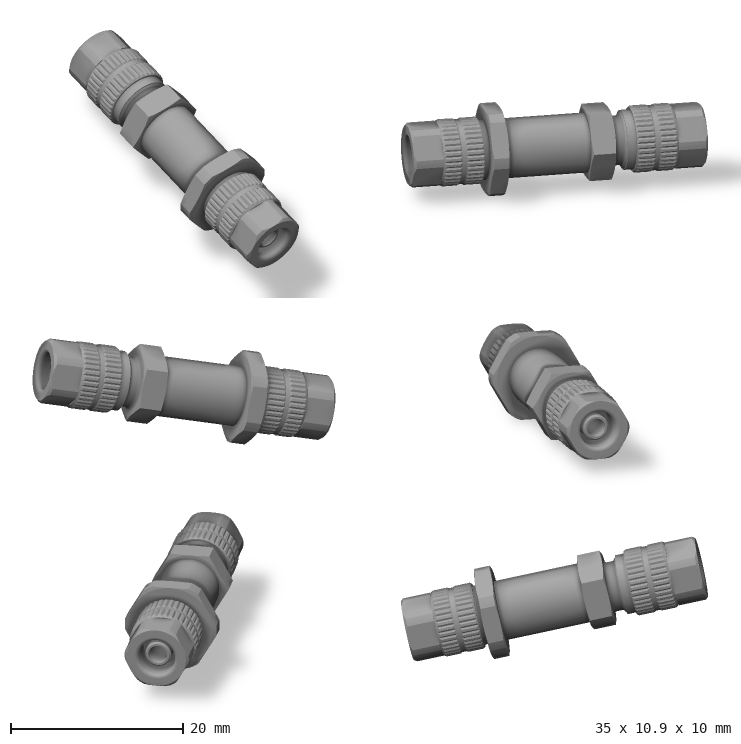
import cadquery as cq
import math

length = 35.0
end_hex_length = 3.5
knurl_length = 2.2
knurl_gap = 0.55
body_hex_start = 11.02
body_hex_length = 2.9
flange_start = 23.95
flange_length = 2.03

body_diameter = 7.0
band_diameter = 7.6
neck_diameter = 5.8
shoulder_diameter = 6.25
core_diameter = 3.0
through_bore_diameter = 2.2
socket_diameter = 4.3

end_hex_flats = 7.0
end_hex_corners = 7.6
body_hex_flats = 7.98
body_hex_corners = body_hex_flats / math.cos(math.pi / 6)
flange_flats = 10.0
flange_corners = 10.9
end_chamfer_angle = 45
nut_chamfer_angle = 15

tooth_count = 36
tooth_width = 0.28
knurl_diameter = 7.85
knurl_root_diameter = 7.52
knurl_chamfer_angle = 35
hex_side_chamfer = 0.35
body_side_chamfer = 0.25
band_side_chamfer = 0.18

neck_start = 9.52
shoulder_length = 0.2
left_fillet_length = 0.3
neck_fillet = 0.42
shoulder_rim_diameter = 6.72

socket_depth = end_hex_length
socket_lip_radius = 0.45
core_recess = 1.05
core_chamfer = 0.18


def cylinder(start, size, diameter):
    return cq.Workplane("YZ").workplane(offset=start).circle(diameter / 2).extrude(size)


def turned(points):
    """Revolve a closed (x, radius) outline about the X axis."""
    return cq.Workplane("XY").polyline(points).close().revolve(360, (0, 0, 0), (1, 0, 0))


def rounded_hexagon(start, size, flats, corners, chamfer_angle, chamfered_faces):
    """Hexagon with turned corners and turned chamfers, tangent to the flats, on the selected end faces."""
    prism = (
        cq.Workplane("YZ")
        .workplane(offset=start)
        .polygon(6, flats / math.cos(math.pi / 6))
        .extrude(size)
    )
    chamfer_depth = (corners - flats) / 2
    chamfer_length = chamfer_depth * math.tan(math.radians(chamfer_angle))
    envelope = (
        cylinder(start, size, corners)
        .faces(chamfered_faces)
        .chamfer(chamfer_length, chamfer_depth)
    )
    return prism.intersect(envelope)


def knurled_ring(start, left_chamfer, right_chamfer):
    """Ring of straight teeth with V grooves between them and turned chamfers at both ends."""
    tip = knurl_diameter / 2
    root = knurl_root_diameter / 2
    pitch = 2 * math.pi / tooth_count
    half_tooth = math.asin(tooth_width / 2 / tip)
    outline = []
    for tooth in range(tooth_count):
        groove = tooth * pitch
        for radius, angle in (
            (root, groove),
            (tip, groove + pitch / 2 - half_tooth),
            (tip, groove + pitch / 2 + half_tooth),
        ):
            outline.append((radius * math.cos(angle), radius * math.sin(angle)))
    teeth = cq.Workplane("YZ").workplane(offset=start).polyline(outline).close().extrude(knurl_length)
    end = start + knurl_length
    slope = math.tan(math.radians(knurl_chamfer_angle))
    envelope = turned(
        [
            (start, 0),
            (start, tip - left_chamfer * slope),
            (start + left_chamfer, tip),
            (end - right_chamfer, tip),
            (end, tip - right_chamfer * slope),
            (end, 0),
        ]
    )
    return teeth.intersect(envelope)


def end_coupling():
    """Left coupling nut: hexagon, two knurled rings and the plain band between them."""
    second_knurl = end_hex_length + knurl_length + knurl_gap
    hexagon = rounded_hexagon(
        0, end_hex_length, end_hex_flats, end_hex_corners, end_chamfer_angle, "<X"
    )
    band = cylinder(end_hex_length + knurl_length, knurl_gap, band_diameter)
    return (
        hexagon.union(knurled_ring(end_hex_length, hex_side_chamfer, band_side_chamfer))
        .union(band)
        .union(knurled_ring(second_knurl, band_side_chamfer, body_side_chamfer))
    )


def tube_socket():
    """Annular pocket in the left end face, with a rounded mouth, around the recessed core tube."""
    wall = socket_diameter / 2
    core = core_diameter / 2
    mouth_angle = math.pi / 4
    return (
        cq.Workplane("XY")
        .moveTo(0, 0)
        .lineTo(0, wall + socket_lip_radius)
        .threePointArc(
            (
                socket_lip_radius * (1 - math.cos(mouth_angle)),
                wall + socket_lip_radius * (1 - math.sin(mouth_angle)),
            ),
            (socket_lip_radius, wall),
        )
        .lineTo(socket_depth, wall)
        .lineTo(socket_depth, core)
        .lineTo(core_recess + core_chamfer, core)
        .lineTo(core_recess, core - core_chamfer)
        .lineTo(core_recess, 0)
        .close()
        .revolve(360, (0, 0, 0), (1, 0, 0))
    )


def neck_groove():
    """Ring removed from the body to leave the filleted neck beside the body hexagon."""
    outside = band_diameter / 2
    neck = neck_diameter / 2
    fillet_start = neck_start + shoulder_length
    right_fillet_start = body_hex_start - neck_fillet
    drop = shoulder_diameter / 2 - neck
    left_radius = (left_fillet_length**2 + drop**2) / (2 * drop)
    half_angle = math.asin(left_fillet_length / left_radius) / 2
    neck_left = fillet_start + left_fillet_length
    return (
        cq.Workplane("XY")
        .moveTo(neck_start, outside)
        .lineTo(neck_start, shoulder_rim_diameter / 2)
        .lineTo(fillet_start, shoulder_diameter / 2)
        .threePointArc(
            (
                neck_left - left_radius * math.sin(half_angle),
                neck + left_radius * (1 - math.cos(half_angle)),
            ),
            (neck_left, neck),
        )
        .lineTo(right_fillet_start, neck)
        .threePointArc(
            (
                right_fillet_start + neck_fillet * math.sin(math.pi / 4),
                neck + neck_fillet * (1 - math.cos(math.pi / 4)),
            ),
            (body_hex_start, neck + neck_fillet),
        )
        .lineTo(body_hex_start, outside)
        .close()
        .revolve(360, (0, 0, 0), (1, 0, 0))
    )


def mirrored_end(shape):
    return shape.mirror("YZ", (length / 2, 0, 0))


coupling = end_coupling()
socket = tube_socket()

body = cylinder(end_hex_length, length - 2 * end_hex_length, body_diameter).cut(neck_groove())
body_hex = rounded_hexagon(
    body_hex_start,
    body_hex_length,
    body_hex_flats,
    body_hex_corners,
    nut_chamfer_angle,
    "|X",
)
flange = rounded_hexagon(
    flange_start,
    flange_length,
    flange_flats,
    flange_corners,
    nut_chamfer_angle,
    "|X",
)

result = (
    body.union(body_hex)
    .union(flange)
    .union(coupling)
    .union(mirrored_end(coupling))
    .cut(socket)
    .cut(mirrored_end(socket))
    .cut(cylinder(0, length, through_bore_diameter))
)